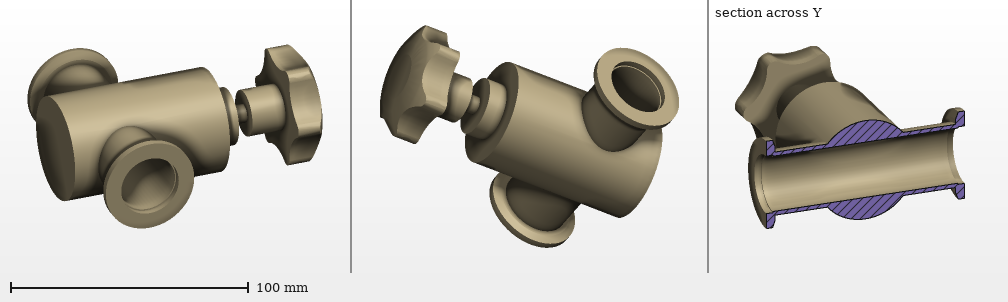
import cadquery as cq
import math


barrel_diameter = 45.0
barrel_length = 70.0
barrel_start = -25.0
collar_diameter = 25.0
collar_length = 8.0
stem_diameter = 8.0
stem_length = 7.0

port_span = 90.0
tube_diameter = 29.0
flange_diameter = 40.0
flange_rim = 3.0
flange_thickness = 4.3
flange_back_diameter = 33.4
bore_diameter = 25.0
seat_diameter = 26.0
seat_depth = 3.0

hub_diameter = 20.0
hub_length = 15.0
knob_diameter = 50.0
knob_thickness = 15.0
dome_drop = 5.3
crown_flat_radius = 10.0
lobe_count = 6
scallop_radius = 18.0
scallop_floor_radius = 19.3
lobe_rounding = 3.5

barrel_end = barrel_start + barrel_length
collar_end = barrel_end + collar_length
stem_end = collar_end + stem_length
hub_end = stem_end + hub_length
knob_top = hub_end + knob_thickness


def cylinder_along_y(diameter, start, length):
    """Cylinder on the main axis, from start toward +Y."""
    plane = cq.Plane(origin=(0, start, 0), xDir=(1, 0, 0), normal=(0, 1, 0))
    return cq.Workplane(plane).circle(diameter / 2).extrude(length)


def cylinder_along_x(diameter, length):
    """Cylinder on the port axis, centred on the origin."""
    return cq.Workplane("YZ").circle(diameter / 2).extrude(length / 2, both=True)


def make_flange(side):
    """Clamp flange with a conical back; side is +1 or -1 along X."""
    face = side * port_span / 2
    rim_back = face - side * flange_rim
    cone_end = face - side * flange_thickness
    return (
        cq.Workplane("XY")
        .moveTo(face, 0)
        .lineTo(face, flange_diameter / 2)
        .lineTo(rim_back, flange_diameter / 2)
        .lineTo(cone_end, flange_back_diameter / 2)
        .lineTo(cone_end, 0)
        .close()
        .revolve(360, (0, 0, 0), (1, 0, 0))
    )


def make_seat(side):
    """Shallow counterbore that opens at a flange face."""
    face = side * port_span / 2
    return cq.Workplane("YZ").workplane(offset=face).circle(seat_diameter / 2).extrude(-side * seat_depth)


def make_valve_body():
    """Barrel with collar, stem and two flanged ports, bored through along X."""
    body = cylinder_along_y(barrel_diameter, barrel_start, barrel_length)
    body = body.union(cylinder_along_y(collar_diameter, barrel_end, collar_length))
    body = body.union(cylinder_along_y(stem_diameter, collar_end, stem_length))
    body = body.union(cylinder_along_x(tube_diameter, port_span))
    for side in (-1, 1):
        body = body.union(make_flange(side))
    body = body.cut(cylinder_along_x(bore_diameter, port_span))
    for side in (-1, 1):
        body = body.cut(make_seat(side))
    return body


def make_star():
    """Six-lobed prism: a disc with round scallops between rounded lobes."""
    star = cylinder_along_y(knob_diameter, hub_end, knob_thickness)
    scallop_distance = scallop_floor_radius + scallop_radius
    lobe_pitch = 360 / lobe_count
    for index in range(lobe_count):
        angle = math.radians(index * lobe_pitch + lobe_pitch / 2)
        scallop = cylinder_along_y(2 * scallop_radius, hub_end, knob_thickness).translate(
            (scallop_distance * math.cos(angle), 0, scallop_distance * math.sin(angle))
        )
        star = star.cut(scallop)
    return star.edges("|Y").fillet(lobe_rounding)


def make_dome():
    """Turned envelope of the knob: a flat crown that curves down to the rim."""
    knob_radius = knob_diameter / 2
    dome_edge = knob_top - dome_drop
    return (
        cq.Workplane("XY")
        .moveTo(0, hub_end)
        .lineTo(0, knob_top)
        .lineTo(crown_flat_radius, knob_top)
        .tangentArcPoint((knob_radius, dome_edge), relative=False)
        .lineTo(knob_radius, hub_end)
        .close()
        .revolve(360, (0, 0, 0), (0, 1, 0))
    )


def make_knob():
    """Star knob with its hub, which rests on the end of the stem."""
    hub = cylinder_along_y(hub_diameter, stem_end, hub_length)
    return make_star().intersect(make_dome()).union(hub)


valve_body = make_valve_body()
knob = make_knob()

result = cq.Compound.makeCompound([valve_body.val(), knob.val()])